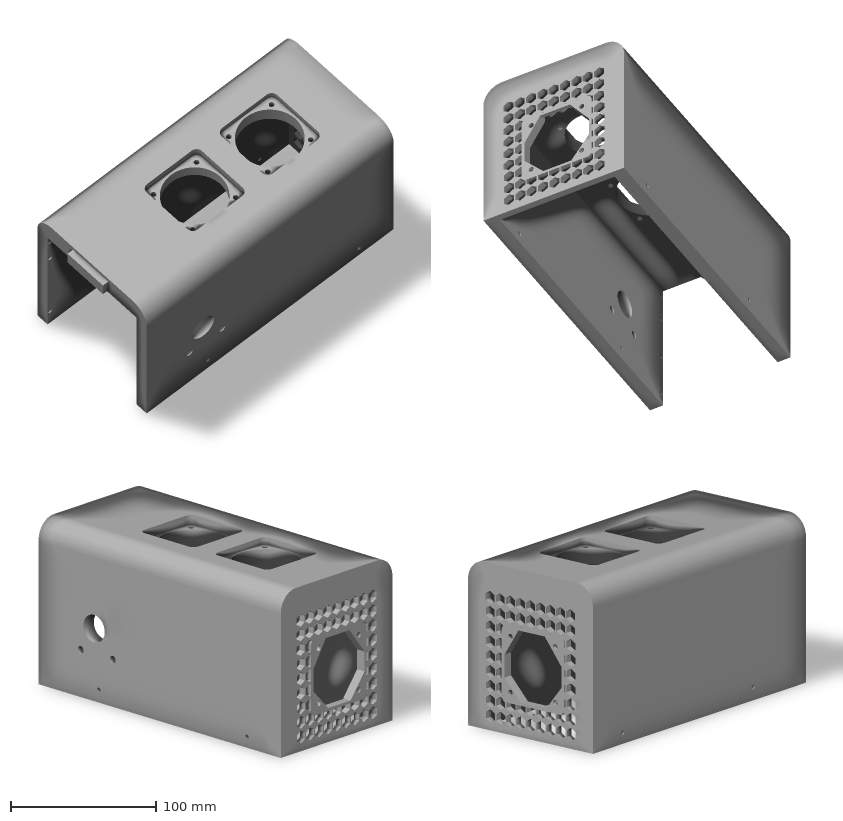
import cadquery as cq
import math

width = 111.6
length = 230.0
height = 120.0
corner_radius = 15.0
side_wall = 10.3
roof_thickness = 16.0
rear_wall = 5.0
inner_width = width - 2 * side_wall
inner_height = height - roof_thickness
front_y = -length / 2
rear_y = length / 2
grille_y = rear_y - rear_wall
side_inner_x = inner_width / 2
overcut = 1.0

bar_projection = 5.11
bar_width = 36.2
bar_height = 10.4
bar_x = -1.4
bar_z = 112.0

fan_pitch = 40.0
fan_screw_diameter = 4.0
roof_fan_x = 1.4
roof_fans = [(49.3, 5.0), (-20.7, 7.0)]
roof_recess_size = 51.6
roof_recess_radius = 5.0
roof_fan_opening = 48.0

hex_sides = 6
hex_turn = 0.0
hex_across_flats = 8.0
hex_columns = 9
hex_rows = 9
hex_pitch_x = 9.0
hex_pitch_z = 10.6
hex_row_shift = 0.06
hex_first_x = -36.0
hex_first_z = 95.2

rear_fan_x = -2.1
rear_fan_z = 50.4
rear_plate_size = 55.6
rear_plate_radius = 4.0
rear_plate_thickness = 2.5
pad_thickness = 2.0
pad_half_width = 28.0
pad_top = 28.6
pad_bottom = -25.7
opening_top = 25.8
lip_half_width = 25.8
lip_bottom = -27.8
lip_projection = 1.0
notch_left = -10.7
notch_right = 12.9
airway_points = [
    (notch_left, opening_top),
    (notch_right, opening_top),
    (25.1, 6.5),
    (25.1, -10.2),
    (10.4, pad_bottom),
    (-11.8, pad_bottom),
    (-25.8, -8.0),
    (-25.8, 6.5),
]

rim_hole_diameter = 3.2
rim_hole_depth = 5.0
rim_hole_setback = 2.6
slit_inset = 3.5
slit_thickness = 0.15
slit_length = 1.8
left_rim_zs = (95.9, 77.0, 13.4)
right_rim_zs = (97.3, 76.6, 42.4, 9.4)
roof_rim_x = -39.6

base_screw_diameter = 3.2
base_screw_holes = [(82.8, 7.9), (-57.8, 9.3)]
cable_hole_diameter = 20.0
cable_hole = (-62.3, 52.7)
socket_screw_diameter = 5.5
socket_screw_holes = [(-75.0, 34.3), (-44.5, 34.3)]


def box_between(x0, x1, y0, y1, z0, z1):
    """Axis-aligned box from its six limits."""
    return cq.Workplane("XY").box(x1 - x0, y1 - y0, z1 - z0, centered=False).translate((x0, y0, z0))


def facing_front(y):
    """XZ workplane at a given y; a negative extrusion runs towards +Y."""
    return cq.Workplane("XZ", origin=(0, y, 0))


def make_shell():
    outer = box_between(-width / 2, width / 2, front_y, rear_y, 0, height)
    outer = outer.edges("|Y and >Z").fillet(corner_radius)
    cavity = box_between(-side_inner_x, side_inner_x, front_y - overcut, grille_y, -overcut, inner_height)
    bar = box_between(
        bar_x - bar_width / 2,
        bar_x + bar_width / 2,
        front_y - bar_projection,
        front_y + overcut,
        bar_z - bar_height / 2,
        bar_z + bar_height / 2,
    )
    return outer.cut(cavity).union(bar)


def make_hexagons():
    centres = [
        (hex_first_x + column * hex_pitch_x - row * hex_row_shift, hex_first_z - row * hex_pitch_z)
        for row in range(hex_rows)
        for column in range(hex_columns)
    ]
    hex_radius = hex_across_flats / 2 / math.cos(math.pi / hex_sides)
    hexagon = cq.Sketch().regularPolygon(hex_radius, hex_sides, angle=hex_turn)
    cells = facing_front(grille_y - overcut).pushPoints(centres).placeSketch(hexagon)
    return cells.extrude(-(rear_wall + 2 * overcut))


def make_rear_pads():
    """Square frame ahead of the wall, open at the top between its two upper corners."""
    pads = box_between(
        rear_fan_x - pad_half_width,
        rear_fan_x + pad_half_width,
        grille_y - pad_thickness,
        rear_y - rear_plate_thickness,
        rear_fan_z + pad_bottom,
        rear_fan_z + pad_top,
    )
    notch = box_between(
        rear_fan_x + notch_left,
        rear_fan_x + notch_right,
        grille_y - pad_thickness,
        rear_y,
        rear_fan_z,
        rear_fan_z + pad_top,
    )
    return pads.cut(notch)


def make_rear_lip():
    """Strip below the pads, standing slightly ahead of the wall."""
    return box_between(
        rear_fan_x - lip_half_width,
        rear_fan_x + lip_half_width,
        grille_y - lip_projection,
        rear_y,
        rear_fan_z + lip_bottom,
        rear_fan_z + pad_bottom,
    )


def make_rear_plate():
    plate = facing_front(rear_y).center(rear_fan_x, rear_fan_z).rect(rear_plate_size, rear_plate_size)
    return plate.extrude(rear_plate_thickness).edges("|Y").fillet(rear_plate_radius)


def make_rear_openings():
    plane = facing_front(grille_y - pad_thickness - overcut).center(rear_fan_x, rear_fan_z)
    depth = pad_thickness + rear_wall + 2 * overcut
    airway = plane.polyline(airway_points).close().extrude(-depth)
    screws = plane.rect(fan_pitch, fan_pitch, forConstruction=True).vertices()
    return airway.union(screws.circle(fan_screw_diameter / 2).extrude(-depth))


def make_roof_fan(y, recess_depth):
    plane = cq.Workplane("XY", origin=(roof_fan_x, y, height))
    recess = plane.rect(roof_recess_size, roof_recess_size).extrude(-recess_depth)
    recess = recess.edges("|Z").fillet(roof_recess_radius)
    depth = roof_thickness + overcut
    opening = plane.circle(roof_fan_opening / 2).extrude(-depth)
    screws = plane.rect(fan_pitch, fan_pitch, forConstruction=True).vertices()
    return recess.union(opening).union(screws.circle(fan_screw_diameter / 2).extrude(-depth))


def make_rim_hole(mouth, direction):
    """Blind hole from an inner face plus the slit joining it to the front face."""
    x, z = mouth
    dx, dz = direction
    hole_y = front_y + rim_hole_setback
    hole = cq.Solid.makeCylinder(
        rim_hole_diameter / 2, rim_hole_depth, cq.Vector(x, hole_y, z), cq.Vector(dx, 0, dz)
    )
    slit_x = slit_thickness if dx else slit_length
    slit_z = slit_thickness if dz else slit_length
    slit = cq.Workplane("XY").box(slit_x, 2 * rim_hole_setback, slit_z)
    slit = slit.translate((x + dx * slit_inset, front_y, z + dz * slit_inset))
    return slit.union(cq.Workplane(hole))


def make_side_hole(side, centre, diameter):
    """Hole along X through the wall on the given side (-1 left, +1 right)."""
    y, z = centre
    start = cq.Vector(side * (side_inner_x - overcut), y, z)
    return cq.Solid.makeCylinder(diameter / 2, side_wall + 2 * overcut, start, cq.Vector(side, 0, 0))


result = make_shell().cut(make_hexagons())
result = result.union(make_rear_plate()).union(make_rear_pads()).union(make_rear_lip())
result = result.cut(make_rear_openings())

for fan_y, fan_recess_depth in roof_fans:
    result = result.cut(make_roof_fan(fan_y, fan_recess_depth))

for rim_z in left_rim_zs:
    result = result.cut(make_rim_hole((-side_inner_x, rim_z), (-1, 0)))
for rim_z in right_rim_zs:
    result = result.cut(make_rim_hole((side_inner_x, rim_z), (1, 0)))
result = result.cut(make_rim_hole((roof_rim_x, inner_height), (0, 1)))

for base_centre in base_screw_holes:
    for wall_side in (-1, 1):
        result = result.cut(cq.Workplane(make_side_hole(wall_side, base_centre, base_screw_diameter)))
result = result.cut(cq.Workplane(make_side_hole(1, cable_hole, cable_hole_diameter)))
for socket_centre in socket_screw_holes:
    result = result.cut(cq.Workplane(make_side_hole(1, socket_centre, socket_screw_diameter)))